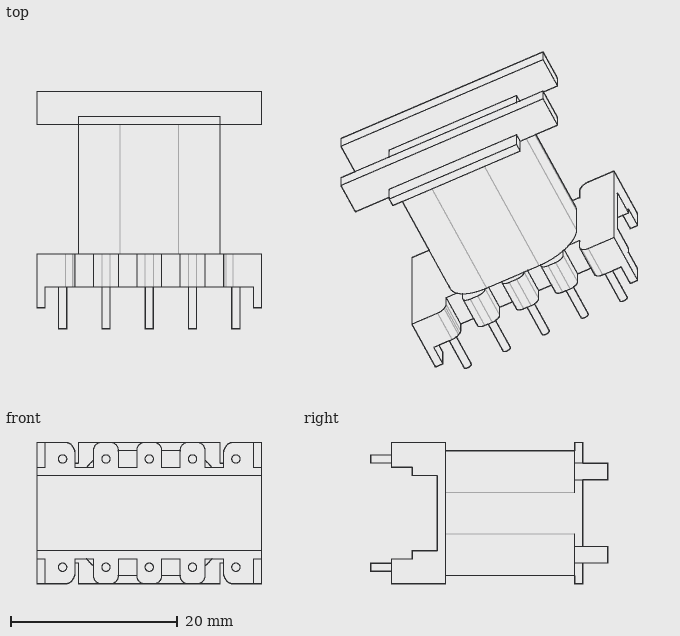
import cadquery as cq
import math


core_width = 17.0
core_height = 15.0
core_length = 15.5
core_corner_radius = 5.0

overall_width = 27.0
overall_height = 17.0
flange_width = core_width
flange_thickness = 1.0
bar_height = 2.0
bar_center_z = 5.0
bar_overhang = 3.0

plate_thickness = 1.0
rail_depth = 4.0
rail_inner_z = 4.5
rail_outer_z = 5.5

pin_pitch = 5.2
pin_count = 5
pin_block_width = 3.0
pin_block_radius = 1.0
end_chamfer_height = 1.0
end_chamfer_angle = 30.0

foot_width = 1.0
foot_length = 2.5
pin_diameter = 1.0
pin_length = 5.0
pin_z = 6.5

core_rear_y = core_length
bar_rear_y = core_rear_y + flange_thickness + bar_overhang
rail_front_y = -rail_depth

half_width = overall_width / 2
half_height = overall_height / 2
end_pin_x = (pin_count - 1) / 2 * pin_pitch
end_block_inner_x = end_pin_x - pin_block_width / 2
end_chamfer_width = end_chamfer_height * math.tan(math.radians(end_chamfer_angle))


def box(x_range, y_range, z_range):
    """Axis-aligned box between pairs of limits."""
    limits = (x_range, y_range, z_range)
    size = [high - low for low, high in limits]
    corner = tuple(low for low, high in limits)
    return cq.Workplane("XY").box(*size, centered=False).translate(corner)


def make_core():
    core = cq.Workplane("XY").box(core_width, core_length, core_height, centered=(True, False, True))
    return core.edges("|Y").fillet(core_corner_radius)


def make_flange():
    return box(
        (-flange_width / 2, flange_width / 2),
        (core_rear_y, core_rear_y + flange_thickness),
        (-half_height, half_height),
    )


def make_bar():
    return box(
        (-half_width, half_width),
        (core_rear_y, bar_rear_y),
        (bar_center_z - bar_height / 2, bar_center_z + bar_height / 2),
    )


def make_plate():
    return box((-half_width, half_width), (-plate_thickness, 0), (-rail_outer_z, rail_outer_z))


def make_rail():
    return box((-half_width, half_width), (rail_front_y, 0), (rail_inner_z, rail_outer_z))


def make_pin_block(center_x):
    """Block around one inner pin, with both outer corners rounded."""
    block = box(
        (center_x - pin_block_width / 2, center_x + pin_block_width / 2),
        (rail_front_y, 0),
        (rail_outer_z, half_height),
    )
    return block.edges("|Y and >Z").fillet(pin_block_radius)


def make_end_block():
    """Block at the +X end of a rail, with a steep rounded chamfer on its inner corner and a foot in front."""
    chamfer_bottom = (end_block_inner_x, half_height - end_chamfer_height)
    chamfer_top = (end_block_inner_x + end_chamfer_width, half_height)
    outline = [
        (end_block_inner_x, rail_outer_z),
        chamfer_bottom,
        chamfer_top,
        (half_width, half_height),
        (half_width, rail_outer_z),
    ]
    block = cq.Workplane("XZ").polyline(outline).close().extrude(rail_depth)
    for x, z in (chamfer_top, chamfer_bottom):
        corner_edge = cq.selectors.NearestToPointSelector((x, rail_front_y / 2, z))
        block = block.edges("|Y").edges(corner_edge).fillet(pin_block_radius)
    foot = box(
        (half_width - foot_width, half_width),
        (rail_front_y - foot_length, rail_front_y),
        (rail_outer_z, half_height),
    )
    return block.union(foot)


def make_pin(center_x):
    pin = cq.Workplane("XZ", origin=(center_x, rail_front_y, pin_z))
    return pin.circle(pin_diameter / 2).extrude(pin_length)


def make_upper_half():
    """Rail, blocks, feet and pins on the +Z side."""
    end_block = make_end_block()
    upper = make_rail().union(end_block).union(end_block.mirror("YZ"))
    for index in range(pin_count):
        center_x = index * pin_pitch - end_pin_x
        if 0 < index < pin_count - 1:
            upper = upper.union(make_pin_block(center_x))
        upper = upper.union(make_pin(center_x))
    return upper


result = make_core().union(make_flange()).union(make_plate())
for feature in (make_upper_half(), make_bar()):
    result = result.union(feature).union(feature.mirror("XY"))